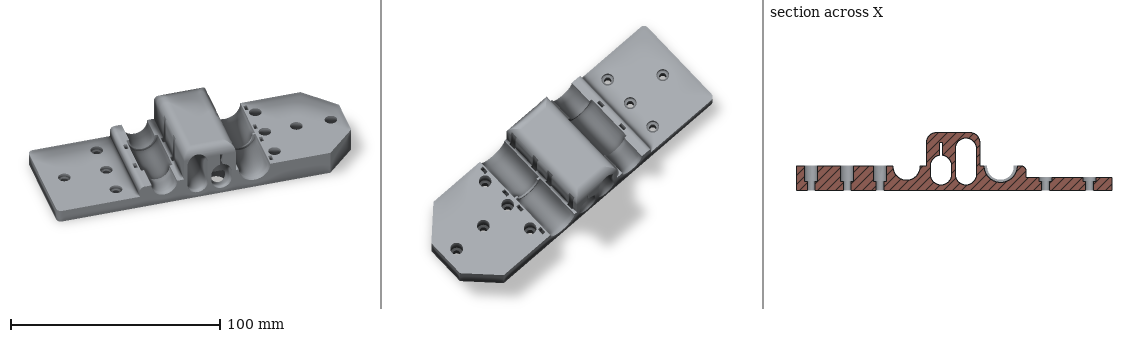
import cadquery as cq
length = 151.0
width = 50.0
height = 28.0

plate_top = 12.0
flap_top = 6.3
step_y = 41.0
step_fillet = 2.4
rear_chamfer = 14.8
flap_corner_radius = 2.4

block_front = 63.1
block_back = 89.0
block_fillet = 5.0

passage_width = 10.0
passage_bottom = 2.9
rear_passage_y = 81.8
rear_passage_top = 16.9
front_passage_y = 69.9
front_passage_top = 25.0
slit_width = 1.4
slit_top = height - block_fillet
access_hole_diameter = 8.5

rear_axis_y = 98.3
front_axis_y = 53.3
bearing_radius = 7.9
bearing_length = 24.8
bearing_gap = 0.9
rod_radius = 6.3
rod_center_z = 11.5
tie_inner_radius = 8.53
tie_outer_radius = 10.3
tie_width = 3.5
tie_offset = 7.7

hole_diameter = 3.5
counterbore_diameter = 6.0
counterbore_floor = 4.5
row_spacing = 16.0
rear_row_y = 111.0
rear_single_ys = (126.7, 143.9)
front_row_y = 31.9
front_single_y = 10.9


def box(x_size, y_min, y_max, z_min, z_max, x_center=0.0):
    """Box centred on x_center in X."""
    y_size = y_max - y_min
    z_size = z_max - z_min
    solid = cq.Workplane("XY").box(x_size, y_size, z_size)
    return solid.translate((x_center, (y_min + y_max) / 2, (z_min + z_max) / 2))


def x_prism(outline, x_size, x_center=0.0):
    """Extrude a YZ outline along X, centred on x_center."""
    return outline.extrude(x_size / 2, both=True).translate((x_center, 0, 0))


def trough(axis_y, center_z, radius, x_size, x_center=0.0):
    """U-shaped trough along X: a half-round floor with straight sides, open at the top."""
    outline = (
        cq.Workplane("YZ")
        .moveTo(axis_y - radius, height)
        .lineTo(axis_y - radius, center_z)
        .threePointArc((axis_y, center_z - radius), (axis_y + radius, center_z))
        .lineTo(axis_y + radius, height)
        .close()
    )
    return x_prism(outline, x_size, x_center)


def plate():
    thick = (
        box(width, step_y, length, 0, plate_top)
        .edges("|Z and >Y")
        .chamfer(rear_chamfer)
        .edges("|X and <Y and >Z")
        .fillet(step_fillet)
    )
    flap = (
        box(width, 0, step_y, 0, flap_top)
        .edges("|Z and <Y")
        .fillet(flap_corner_radius)
    )
    return thick.union(flap)


def belt_block():
    return box(width, block_front, block_back, 0, height).faces(">Z").edges().fillet(block_fillet)


def belt_passage(center_y, top):
    """Round-ended passage through the full width."""
    outline = (
        cq.Workplane("YZ")
        .center(center_y, (passage_bottom + top) / 2)
        .slot2D(top - passage_bottom, passage_width, 90)
    )
    return x_prism(outline, width)


def bearing_seat(axis_y, x_center):
    return trough(axis_y, plate_top, bearing_radius, bearing_length, x_center).intersect(
        box(2 * width, 0, length, 0, plate_top)
    )


def rod_groove(axis_y):
    return trough(axis_y, rod_center_z, rod_radius, width).intersect(
        box(width, 0, length, 0, plate_top)
    )


def tie_channels(axis_y, bearing_x):
    """Two U-shaped cable-tie channels wrapped under one bearing, rising into the block wall."""
    channels = cq.Workplane("XY")
    for side in (-1, 1):
        x = bearing_x + side * tie_offset
        outer = trough(axis_y, plate_top, tie_outer_radius, tie_width, x)
        inner = trough(axis_y, plate_top, tie_inner_radius, tie_width, x)
        channels = channels.add(outer.cut(inner))
    return channels.combine()


def screw_hole(x, y):
    through = cq.Workplane("XY").center(x, y).circle(hole_diameter / 2).extrude(plate_top)
    counterbore = (
        cq.Workplane("XY", origin=(x, y, counterbore_floor))
        .circle(counterbore_diameter / 2)
        .extrude(plate_top - counterbore_floor)
    )
    return through.union(counterbore)


result = plate().union(belt_block())

result = result.cut(belt_passage(rear_passage_y, rear_passage_top))
result = result.cut(belt_passage(front_passage_y, front_passage_top))
slit_sides = (rear_passage_y - slit_width / 2, rear_passage_y + slit_width / 2)
slit_bottom = (passage_bottom + rear_passage_top) / 2
result = result.cut(box(width, *slit_sides, slit_bottom, slit_top))

for x in (-row_spacing, row_spacing):
    access_hole = cq.Workplane("XY").center(x, rear_passage_y).circle(access_hole_diameter / 2)
    result = result.cut(access_hole.extrude(slit_bottom))

rear_bearing_x = (bearing_gap + bearing_length) / 2
bearings = [
    (rear_axis_y, -rear_bearing_x),
    (rear_axis_y, rear_bearing_x),
    (front_axis_y, 0.0),
]
for axis_y, bearing_x in bearings:
    result = result.cut(bearing_seat(axis_y, bearing_x))
    result = result.cut(tie_channels(axis_y, bearing_x))
for axis_y in (rear_axis_y, front_axis_y):
    result = result.cut(rod_groove(axis_y))

hole_places = [(0, y) for y in (*rear_single_ys, front_single_y)]
for row_y in (rear_row_y, front_row_y):
    hole_places += [(column * row_spacing, row_y) for column in (-1, 0, 1)]
for x, y in hole_places:
    result = result.cut(screw_hole(x, y))